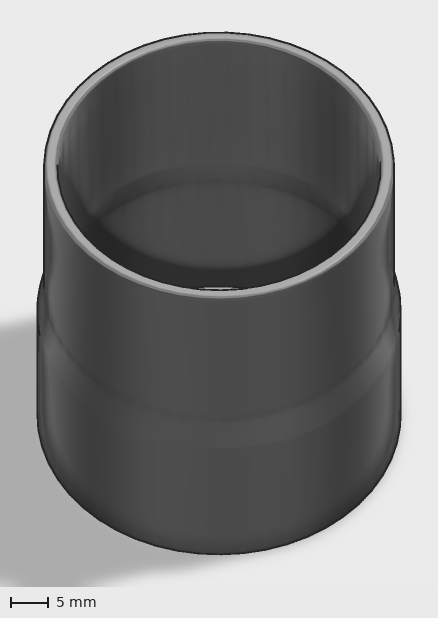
import cadquery as cq

TOTAL_HEIGHT = 52.0
LOWER_OUTER_DIAMETER = 48.2
UPPER_OUTER_DIAMETER = 46.4
WALL = 1.8
CONE_BOTTOM_Z = 22.0
CONE_TOP_Z = 27.0
RIM_FILLET = 0.6
BEND_FILLET = 3.0

LOWER_OUTER_RADIUS = LOWER_OUTER_DIAMETER / 2
UPPER_OUTER_RADIUS = UPPER_OUTER_DIAMETER / 2
LOWER_INNER_RADIUS = LOWER_OUTER_RADIUS - WALL
UPPER_INNER_RADIUS = UPPER_OUTER_RADIUS - WALL


def revolved_wall():
    """Sleeve wall: wide section, short taper, narrow section."""
    return (
        cq.Workplane("XZ")
        .moveTo(LOWER_INNER_RADIUS, 0)
        .lineTo(LOWER_OUTER_RADIUS, 0)
        .lineTo(LOWER_OUTER_RADIUS, CONE_BOTTOM_Z)
        .lineTo(UPPER_OUTER_RADIUS, CONE_TOP_Z)
        .lineTo(UPPER_OUTER_RADIUS, TOTAL_HEIGHT)
        .lineTo(UPPER_INNER_RADIUS, TOTAL_HEIGHT)
        .lineTo(UPPER_INNER_RADIUS, CONE_TOP_Z)
        .lineTo(LOWER_INNER_RADIUS, CONE_BOTTOM_Z)
        .close()
        .revolve(360, (0, 0, 0), (0, 1, 0))
    )


def round_bends(body):
    """Round the circular edges at both ends of the taper, inside and outside."""
    bend_zone = cq.selectors.BoxSelector(
        (-LOWER_OUTER_DIAMETER, -LOWER_OUTER_DIAMETER, CONE_BOTTOM_Z - WALL),
        (LOWER_OUTER_DIAMETER, LOWER_OUTER_DIAMETER, CONE_TOP_Z + WALL),
    )
    return body.edges("%CIRCLE").edges(bend_zone).fillet(BEND_FILLET)


def round_rims(body):
    """Round the inner and outer edges of both end faces."""
    return body.faces("<Z or >Z").edges().fillet(RIM_FILLET)


result = round_rims(round_bends(revolved_wall()))